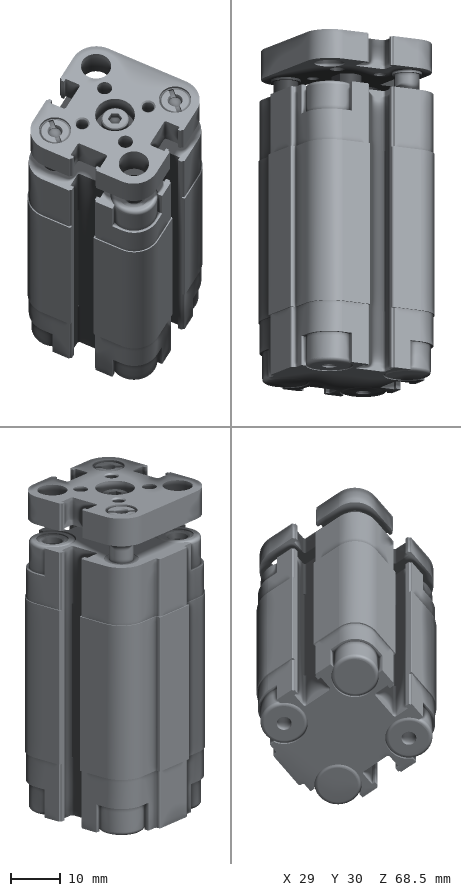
import cadquery as cq

TOTAL_HEIGHT = 68.5
BODY_HEIGHT = 58.0
CAP_HEIGHT = 12.4
PLATE_BOTTOM = 62.55

TUBE_HALF = 14.49
CAP_HALF = 14.25
PLATE_HALF = 14.01
TUBE_CORNER_RADIUS = 5.4
CAP_CORNER_RADIUS = 5.2
PLATE_CORNER_RADIUS = CAP_CORNER_RADIUS

SLOT_ANGLES = (0, 90, 180)
SLOT_OPENING = 5.2
SLOT_WIDTH = 6.7
SLOT_FLOOR = 9.6
SLOT_LIP_INSIDE = 12.95
SLOT_CORNER_RADIUS = 0.5
CAP_LIP_RADIUS = 0.4
TUBE_LIP_RADIUS = 0.15

RAIL_HEIGHT = 1.0
RAIL_FACE = TUBE_HALF + RAIL_HEIGHT
RAIL_WIDTH = 9.3
CAP_SETBACK = TUBE_HALF - CAP_HALF

CORNER_OFFSET = 9.0
BOSS_DIAMETER = 9.5
BOSS_HEIGHT = 6.0
BOSS_FILLET = 0.75
NOTCH_START = 6.8
SCREW_HOLE_DIAMETER = 3.0
SCREW_CONE_DIAMETER = 5.0
SCREW_CONE_DEPTH = 0.2
SCREW_THROAT_DIAMETER = 4.1
SCREW_THROAT_DEPTH = 1.0
SCREW_SEAT_DIAMETER = 6.5
SCREW_SEAT_DEPTH = 0.3

ROD_DEPTH = CAP_HEIGHT
GUIDE_DIAMETER = 5.0
BEARING_DIAMETER = 7.0
BEARING_RECESS = 0.1
PISTON_DIAMETER = 6.1
PISTON_FLATS = 5.0
PISTON_FLAT_HEIGHT = 2.8

SLEEVE_DIAMETER = 6.0
SLEEVE_DROP = 0.5
SLEEVE_RIM_DIAMETER = 6.5
SLEEVE_TOP_DIAMETER = 5.5
SLEEVE_RECESS = 0.24
SOCKET_DIAMETER = 3.0
SOCKET_FLOOR_DIAMETER = 2.5
SOCKET_DEPTH = 0.8
SLIT_WIDTH = 1.0
SLIT_DEPTH = 0.7
SLIT_ANGLE = -45

ACCESS_DIAMETER = 6.1
PIN_OFFSET = 4.9
PIN_DIAMETER = 3.0
THREAD_DIAMETER = 2.5
CENTER_BORE_DIAMETER = 8.0
CENTER_BORE_DEPTH = 4.1
STUD_DIAMETER = 5.5
STUD_TOP_DIAMETER = 5.0
STUD_RECESS = 1.2
HEX_ACROSS_CORNERS = 2.9
HEX_DEPTH = 1.4

ROD_CORNERS = ((1, 1), (-1, -1))
SCREW_CORNERS = ((-1, 1), (1, -1))


def on_corners(signs, offset):
    """Points at +-offset in X and Y with the given signs."""
    return [(sx * offset, sy * offset) for sx, sy in signs]


def cylinder(points, diameter, bottom, top):
    """Vertical cylinders at the given points between two heights."""
    return (cq.Workplane("XY", origin=(0, 0, bottom)).pushPoints(points)
            .circle(diameter / 2).extrude(top - bottom))


def cone(points, bottom_diameter, top_diameter, bottom, top):
    """Vertical truncated cones at the given points between two heights."""
    cones = cq.Workplane("XY")
    for x, y in points:
        solid = cq.Solid.makeCone(bottom_diameter / 2, top_diameter / 2, top - bottom,
                                  pnt=cq.Vector(x, y, bottom))
        cones = cones.add(solid)
    return cones.combine()


def box(x_range, y_range, z_range):
    """Axis-aligned box given by its (low, high) limits."""
    sizes = [high - low for low, high in (x_range, y_range, z_range)]
    corner = (x_range[0], y_range[0], z_range[0])
    return cq.Workplane("XY").box(*sizes, centered=False).translate(corner)


def slot_cutter(half, bottom, top, lip_radius, floor_radius):
    """T-slot cutter on the -X side with rounded lip edges and floor corners."""
    opening = SLOT_OPENING / 2
    z_range = (bottom, top)
    undercut = box((-SLOT_LIP_INSIDE, -SLOT_FLOOR), (-SLOT_WIDTH / 2, SLOT_WIDTH / 2), z_range)
    if floor_radius > 0:
        undercut = undercut.edges("|Z and >X").fillet(floor_radius)
    mouth_half = opening + lip_radius
    mouth = (cq.Workplane("XY", origin=(0, 0, bottom))
             .moveTo(-half, -mouth_half)
             .radiusArc((-half + lip_radius, -opening), -lip_radius)
             .lineTo(-SLOT_FLOOR, -opening)
             .lineTo(-SLOT_FLOOR, opening)
             .lineTo(-half + lip_radius, opening)
             .radiusArc((-half, mouth_half), -lip_radius)
             .close().extrude(top - bottom))
    return undercut.union(mouth)


def slotted_block(half, corner_radius, bottom, top, lip_radius, floor_radius=0.0):
    """Square block with rounded corners and three T-slots."""
    block = (cq.Workplane("XY", origin=(0, 0, bottom)).rect(2 * half, 2 * half)
             .extrude(top - bottom).edges("|Z").fillet(corner_radius))
    cutter = slot_cutter(half, bottom, top, lip_radius, floor_radius)
    for angle in SLOT_ANGLES:
        block = block.cut(cutter.rotate((0, 0, 0), (0, 0, 1), angle))
    return block


def rail(half, setback, radius, bottom, top):
    """Flat rail on the +Y side with rounded edges and rounded feet on the block's face."""
    half_width = RAIL_WIDTH / 2 - setback
    face = RAIL_FACE - setback
    profile = (cq.Workplane("XY", origin=(0, 0, bottom))
               .moveTo(-half_width - radius, half)
               .radiusArc((-half_width, half + radius), -radius)
               .lineTo(-half_width, face - radius)
               .radiusArc((-half_width + radius, face), radius)
               .lineTo(half_width - radius, face)
               .radiusArc((half_width, face - radius), radius)
               .lineTo(half_width, half + radius)
               .radiusArc((half_width + radius, half), -radius)
               .close())
    return profile.extrude(top - bottom)


def corner_boss_cutter(sign_x, sign_y):
    """Material removed around a corner boss at the top of the housing."""
    center = [(sign_x * CORNER_OFFSET, sign_y * CORNER_OFFSET)]
    bottom = BODY_HEIGHT - BOSS_HEIGHT
    notch_size = TUBE_HALF - NOTCH_START
    notch_center = NOTCH_START + notch_size / 2
    notch = (cq.Workplane("XY", origin=(sign_x * notch_center, sign_y * notch_center, bottom))
             .rect(notch_size, notch_size).extrude(BOSS_HEIGHT))
    rim = cylinder(center, BOSS_DIAMETER, BODY_HEIGHT - BOSS_FILLET, BODY_HEIGHT)
    boss = cylinder(center, BOSS_DIAMETER, bottom, BODY_HEIGHT).faces(">Z").edges().fillet(BOSS_FILLET)
    return notch.union(rim).cut(boss)


def cut_corner_bosses(housing):
    """Two bosses at the top of the housing and four at the bottom."""
    for sign_x, sign_y in SCREW_CORNERS:
        housing = housing.cut(corner_boss_cutter(sign_x, sign_y))
    for sign_x, sign_y in ROD_CORNERS + SCREW_CORNERS:
        cutter = corner_boss_cutter(sign_x, sign_y)
        middle = (0, 0, BODY_HEIGHT / 2)
        housing = housing.cut(cutter.mirror("XY", middle))
    return housing


def cut_screw_holes(housing):
    """Through holes with a flat seat and two cones below it, in the two corners without a rod."""
    points = on_corners(SCREW_CORNERS, CORNER_OFFSET)
    seat_floor = BODY_HEIGHT - SCREW_SEAT_DEPTH
    housing = housing.cut(cylinder(points, SCREW_HOLE_DIAMETER, 0, BODY_HEIGHT))
    housing = housing.cut(cylinder(points, SCREW_SEAT_DIAMETER, seat_floor, BODY_HEIGHT))
    throat_top = seat_floor - SCREW_CONE_DEPTH
    housing = housing.cut(cone(points, SCREW_THROAT_DIAMETER, SCREW_CONE_DIAMETER, throat_top, seat_floor))
    return housing.cut(cone(points, SCREW_HOLE_DIAMETER, SCREW_THROAT_DIAMETER,
                            throat_top - SCREW_THROAT_DEPTH, throat_top))


def cut_rod_bores(housing):
    """Blind bores for the piston rod and the two guide rods."""
    points = on_corners(ROD_CORNERS, CORNER_OFFSET)
    floor = BODY_HEIGHT - ROD_DEPTH
    housing = housing.cut(cylinder([(0, 0)], PISTON_DIAMETER, floor, BODY_HEIGHT))
    housing = housing.cut(cylinder(points, GUIDE_DIAMETER, floor, BODY_HEIGHT))
    return housing.cut(cylinder(points, BEARING_DIAMETER, BODY_HEIGHT - BEARING_RECESS, BODY_HEIGHT))


def make_housing():
    """Cylinder housing: a tube between two slightly narrower end caps."""
    tube_bottom = CAP_HEIGHT
    tube_top = BODY_HEIGHT - CAP_HEIGHT
    housing = slotted_block(TUBE_HALF, TUBE_CORNER_RADIUS, tube_bottom, tube_top, TUBE_LIP_RADIUS)
    housing = housing.union(rail(TUBE_HALF, 0, TUBE_LIP_RADIUS, tube_bottom, tube_top))
    for bottom, top in ((0, tube_bottom), (tube_top, BODY_HEIGHT)):
        cap = slotted_block(CAP_HALF, CAP_CORNER_RADIUS, bottom, top,
                            CAP_LIP_RADIUS, SLOT_CORNER_RADIUS)
        housing = housing.union(cap).union(rail(CAP_HALF, CAP_SETBACK, CAP_LIP_RADIUS, bottom, top))
    housing = cut_corner_bosses(housing)
    housing = cut_screw_holes(housing)
    return cut_rod_bores(housing)


def make_plate():
    """Yoke plate with its access holes, pin holes and central counterbore."""
    plate = slotted_block(PLATE_HALF, PLATE_CORNER_RADIUS, PLATE_BOTTOM, TOTAL_HEIGHT,
                          CAP_LIP_RADIUS, SLOT_CORNER_RADIUS)
    access = on_corners(SCREW_CORNERS, CORNER_OFFSET)
    plate = plate.cut(cylinder(access, ACCESS_DIAMETER, PLATE_BOTTOM, TOTAL_HEIGHT))
    pins = on_corners(SCREW_CORNERS, PIN_OFFSET)
    plate = plate.cut(cylinder(pins, PIN_DIAMETER, PLATE_BOTTOM, TOTAL_HEIGHT))
    threads = on_corners(ROD_CORNERS, PIN_OFFSET)
    plate = plate.cut(cylinder(threads, THREAD_DIAMETER, PLATE_BOTTOM, TOTAL_HEIGHT))
    chamfer = (PIN_DIAMETER - THREAD_DIAMETER) / 2
    plate = plate.cut(cone(threads, THREAD_DIAMETER, PIN_DIAMETER,
                           TOTAL_HEIGHT - chamfer, TOTAL_HEIGHT))
    return plate.cut(cylinder([(0, 0)], CENTER_BORE_DIAMETER,
                              TOTAL_HEIGHT - CENTER_BORE_DEPTH, TOTAL_HEIGHT))


def make_piston_rod():
    """Piston rod with two wrench flats below the plate, and its hex-socket stud."""
    stud_bottom = TOTAL_HEIGHT - CENTER_BORE_DEPTH
    stud_top = TOTAL_HEIGHT - STUD_RECESS
    rod = cylinder([(0, 0)], PISTON_DIAMETER, BODY_HEIGHT - ROD_DEPTH, PLATE_BOTTOM)
    half_span = PISTON_DIAMETER / 2
    for y_range in ((-half_span, -PISTON_FLATS / 2), (PISTON_FLATS / 2, half_span)):
        z_range = (PLATE_BOTTOM - PISTON_FLAT_HEIGHT, PLATE_BOTTOM)
        rod = rod.cut(box((-half_span, half_span), y_range, z_range))
    stud = cylinder([(0, 0)], STUD_DIAMETER, stud_bottom, stud_top)
    stud = stud.faces(">Z").edges().chamfer((STUD_DIAMETER - STUD_TOP_DIAMETER) / 2)
    socket = (cq.Workplane("XY", origin=(0, 0, stud_top - HEX_DEPTH))
              .polygon(6, HEX_ACROSS_CORNERS).extrude(HEX_DEPTH)
              .rotate((0, 0, 0), (0, 0, 1), 90))
    return rod, stud.cut(socket)


def add_guide_rods(yoke):
    """Two guide rods whose slotted sleeves show in the plate's top face."""
    points = on_corners(ROD_CORNERS, CORNER_OFFSET)
    sleeve_bottom = PLATE_BOTTOM - SLEEVE_DROP
    yoke = yoke.union(cylinder(points, GUIDE_DIAMETER, BODY_HEIGHT - ROD_DEPTH, PLATE_BOTTOM))
    yoke = yoke.union(cylinder(points, SLEEVE_DIAMETER, sleeve_bottom, PLATE_BOTTOM))

    sleeve_top = TOTAL_HEIGHT - SLEEVE_RECESS
    sleeve_chamfer = (SLEEVE_DIAMETER - SLEEVE_TOP_DIAMETER) / 2
    rim_floor = sleeve_top - sleeve_chamfer
    yoke = yoke.cut(cylinder(points, SLEEVE_RIM_DIAMETER, rim_floor, TOTAL_HEIGHT))
    yoke = yoke.union(cone(points, SLEEVE_DIAMETER, SLEEVE_TOP_DIAMETER, rim_floor, sleeve_top))

    socket_floor = sleeve_top - SOCKET_DEPTH
    yoke = yoke.cut(cone(points, SOCKET_FLOOR_DIAMETER, SOCKET_DIAMETER, socket_floor, sleeve_top))
    for x, y in points:
        slit = (cq.Workplane("XY", origin=(0, 0, sleeve_top - SLIT_DEPTH))
                .rect(SLEEVE_DIAMETER, SLIT_WIDTH).extrude(SLIT_DEPTH)
                .rotate((0, 0, 0), (0, 0, 1), SLIT_ANGLE).translate((x, y, 0)))
        yoke = yoke.cut(slit)
    return yoke


def make_yoke():
    """Moving part: plate, piston rod and guide rods in one piece."""
    yoke = make_plate()
    for part in make_piston_rod():
        yoke = yoke.union(part)
    return add_guide_rods(yoke)


housing = make_housing()
yoke = make_yoke()
result = cq.Compound.makeCompound([housing.solids().val(), yoke.solids().val()])